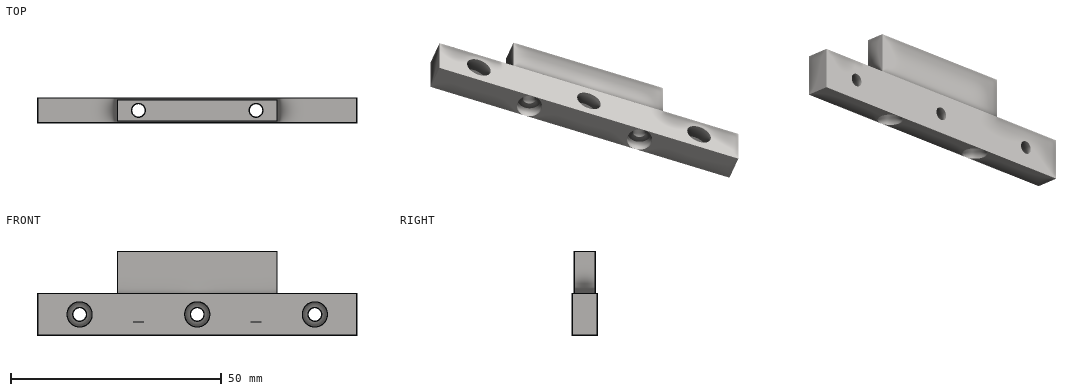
import cadquery as cq

base_length = 76.0
base_width = 6.0
base_height = 10.0

rail_length = 38.0
rail_width = 5.0
rail_height = 10.0

hole_diameter = 3.2
counterbore_diameter = 6.0
counterbore_depth = 3.2
side_hole_pitch = 28.0
side_hole_positions = [-side_hole_pitch, 0.0, side_hole_pitch]
upright_hole_pitch = 28.0
upright_hole_positions = [-upright_hole_pitch / 2, upright_hole_pitch / 2]


def make_body():
    """Base bar with the rail on top."""
    centering = (True, True, False)
    base = cq.Workplane("XY").box(base_length, base_width, base_height, centered=centering)
    rail = (
        cq.Workplane("XY")
        .workplane(offset=base_height)
        .box(rail_length, rail_width, rail_height, centered=centering)
    )
    return base.union(rail)


def make_screw_cutter(start, direction, through_length):
    """Through hole plus counterbore, both starting at the same face."""
    hole = cq.Solid.makeCylinder(hole_diameter / 2, through_length, start, direction)
    counterbore = cq.Solid.makeCylinder(counterbore_diameter / 2, counterbore_depth, start, direction)
    return hole.fuse(counterbore)


def cut_side_holes(body):
    """Holes along Y through the base, counterbored in the -Y face."""
    for x in side_hole_positions:
        start = cq.Vector(x, -base_width / 2, base_height / 2)
        body = body.cut(make_screw_cutter(start, cq.Vector(0, 1, 0), base_width))
    return body


def cut_upright_holes(body):
    """Holes along Z through base and rail, counterbored in the underside.

    Each counterbore is as wide as the base, so its wall just touches both long sides.
    """
    for x in upright_hole_positions:
        start = cq.Vector(x, 0, 0)
        body = body.cut(make_screw_cutter(start, cq.Vector(0, 0, 1), base_height + rail_height))
    return body


result = cut_upright_holes(cut_side_holes(make_body()))